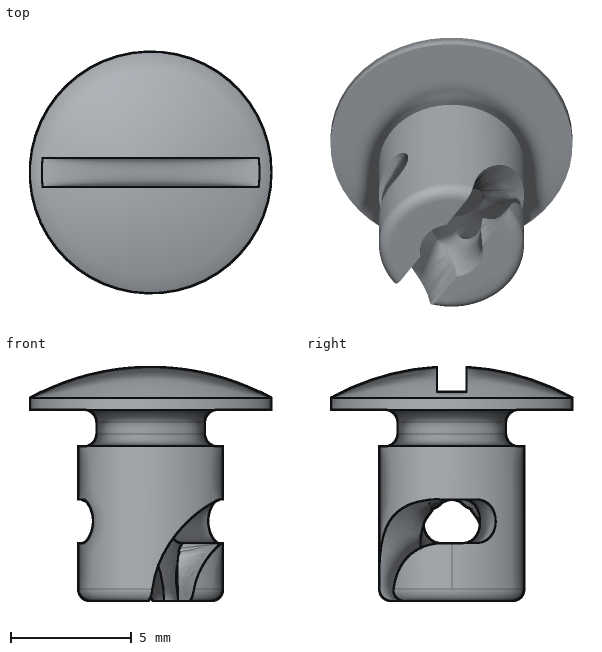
import cadquery as cq
import math

HEAD_RADIUS = 5.0
RIM_HEIGHT = 0.5
DOME_HEIGHT = 1.3
DRIVE_SLOT_WIDTH = 1.2
DRIVE_SLOT_DEPTH = 1.04

NECK_RADIUS = 2.25
NECK_HEIGHT = 1.5
NECK_FILLET = 0.5

BODY_RADIUS = 3.0
BODY_HEIGHT = 6.4
BODY_FILLET = 0.5
BORE_RADIUS = 1.3
BORE_DEPTH = 4.5

CAM_SLOT_COUNT = 2
CAM_SLOT_WIDTH = 1.8
CAM_SLOT_HEIGHT = 3.3
CAM_SLOT_END = -1.04
CAM_BEND_START = 0.46
CAM_BEND_STEPS = 12
CAM_SLOT_INNER_RADIUS = 0.9

CLEARANCE = 0.5

NECK_TOP = BODY_HEIGHT + NECK_HEIGHT
RIM_TOP = NECK_TOP + RIM_HEIGHT
APEX = RIM_TOP + DOME_HEIGHT
DOME_RADIUS = (HEAD_RADIUS**2 + DOME_HEIGHT**2) / (2 * DOME_HEIGHT)


def make_blank():
    """Revolve the outer profile of head, neck and body."""
    groove_edge_radius = NECK_RADIUS + NECK_FILLET
    profile = (
        cq.Workplane("XZ")
        .lineTo(BODY_RADIUS - BODY_FILLET, 0)
        .radiusArc((BODY_RADIUS, BODY_FILLET), -BODY_FILLET)
        .lineTo(BODY_RADIUS, BODY_HEIGHT)
        .lineTo(groove_edge_radius, BODY_HEIGHT)
        .radiusArc((NECK_RADIUS, BODY_HEIGHT + NECK_FILLET), NECK_FILLET)
        .lineTo(NECK_RADIUS, NECK_TOP - NECK_FILLET)
        .radiusArc((groove_edge_radius, NECK_TOP), NECK_FILLET)
        .lineTo(HEAD_RADIUS, NECK_TOP)
        .lineTo(HEAD_RADIUS, RIM_TOP)
        .radiusArc((0, APEX), -DOME_RADIUS)
        .close()
    )
    return profile.revolve(360, (0, 0), (0, 1))


def make_drive_slot():
    """Straight slot along X through the top of the dome."""
    return (
        cq.Workplane("XY", origin=(0, 0, APEX - DRIVE_SLOT_DEPTH))
        .rect(2 * HEAD_RADIUS, DRIVE_SLOT_WIDTH)
        .extrude(DRIVE_SLOT_DEPTH + CLEARANCE)
    )


def make_bore():
    """Blind flat-ended bore from below."""
    return cq.Workplane("XY").circle(BORE_RADIUS).extrude(BORE_DEPTH)


def body_point(radius, arc_length, height):
    """Point in the direction given by an arc length on the body surface, at any radius."""
    angle = arc_length / BODY_RADIUS
    return cq.Vector(-radius * math.cos(angle), radius * math.sin(angle), height)


def cam_path(radius):
    """Cam slot centre line: up from below the body, round a bend and level to the closed end."""
    bend_points = []
    for step in range(CAM_BEND_STEPS + 1):
        turn = math.pi / 2 * step / CAM_BEND_STEPS
        arc_length = CAM_BEND_START + CAM_SLOT_HEIGHT * math.cos(turn)
        bend_points.append(body_point(radius, arc_length, CAM_SLOT_HEIGHT * math.sin(turn)))
    bend_angle = CAM_BEND_START / BODY_RADIUS
    upward = cq.Vector(0, 0, 1)
    level_direction = cq.Vector(-math.sin(bend_angle), -math.cos(bend_angle), 0)

    start = bend_points[0] - cq.Vector(0, 0, CLEARANCE)
    middle = body_point(radius, (CAM_BEND_START + CAM_SLOT_END) / 2, CAM_SLOT_HEIGHT)
    end = body_point(radius, CAM_SLOT_END, CAM_SLOT_HEIGHT)
    rise = cq.Edge.makeLine(start, bend_points[0])
    bend = cq.Edge.makeSpline(bend_points, tangents=[upward, level_direction])
    level = cq.Edge.makeThreePointArc(bend_points[-1], middle, end)
    return cq.Wire.assembleEdges([rise, bend, level])


def make_cam_slot():
    """Channel of constant width that always points at the Z axis, and its round closed end."""
    half_depth = BODY_RADIUS - CAM_SLOT_INNER_RADIUS
    path = cam_path(BODY_RADIUS)
    guide = cam_path(CAM_SLOT_INNER_RADIUS)
    start = path.startPoint()
    section_plane = cq.Plane(origin=start, xDir=(start.x, start.y, 0), normal=(0, 0, 1))
    channel = (
        cq.Workplane(section_plane)
        .rect(2 * half_depth, CAM_SLOT_WIDTH)
        .sweep(path, auxSpine=cq.Workplane(obj=guide))
    )
    end = guide.endPoint()
    outward = cq.Vector(end.x, end.y, 0)
    round_end = cq.Solid.makeCylinder(CAM_SLOT_WIDTH / 2, 2 * half_depth, end, outward)
    return [channel, cq.Workplane(obj=round_end)]


part = make_blank().cut(make_drive_slot()).cut(make_bore())
cam_slot_cutters = make_cam_slot()
for index in range(CAM_SLOT_COUNT):
    slot_angle = index * 360 / CAM_SLOT_COUNT
    for cutter in cam_slot_cutters:
        part = part.cut(cutter.rotate((0, 0, 0), (0, 0, 1), slot_angle))

result = part.solids()